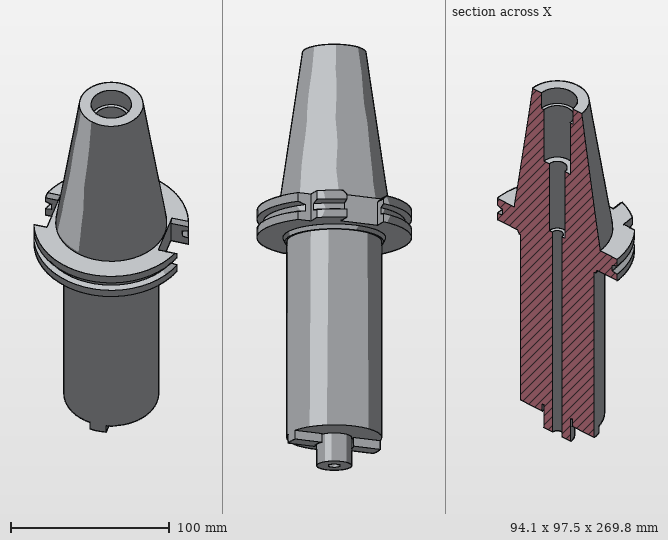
import cadquery as cq

total_height = 269.8
taper_length = 101.7
flange_drop = 19.2
gauge_land = 1.5
collar_height = 2.7
pilot_length = 18.3
gauge_z = total_height - taper_length
flange_top = gauge_z - gauge_land
flange_bottom = gauge_z - flange_drop
collar_bottom = flange_bottom - collar_height

taper_large_radius = 70.0 / 2
taper_ratio = 7 / 24
taper_small_radius = taper_large_radius - taper_length * taper_ratio / 2
flange_radius = 97.5 / 2
collar_top_radius = 32.5
collar_bottom_radius = 31.0
body_radius = 30.0
pilot_radius = 11.0

upper_rim_height = 5.7
lower_rim_height = 5.5
groove_upper_flank = 1.5
groove_lower_flank = 0.8
groove_top = flange_top - upper_rim_height
groove_floor_top = groove_top - groove_upper_flank
groove_bottom = flange_bottom + lower_rim_height
groove_floor_bottom = groove_bottom + groove_lower_flank
groove_radius = 44.8

slot_width = 25.4
slot_floor_left = 37.8
slot_floor_right = 35.3
slot_chamfer = 2.5

notch_x = -29.7
notch_y = 29.7

key_width = 10.8
key_height = 5.7
key_inner_radius = 12.1

bore_steps = [(12.7, 12.5), (10.5, 54.0), (6.2, 108.0), (3.8, total_height)]


def turned_body():
    profile = [
        (0, 0),
        (pilot_radius, 0),
        (pilot_radius, pilot_length),
        (body_radius, pilot_length),
        (body_radius, collar_bottom),
        (collar_bottom_radius, collar_bottom),
        (collar_top_radius, flange_bottom),
        (flange_radius, flange_bottom),
        (flange_radius, groove_bottom),
        (groove_radius, groove_floor_bottom),
        (groove_radius, groove_floor_top),
        (flange_radius, groove_top),
        (flange_radius, flange_top),
        (taper_large_radius, flange_top),
        (taper_large_radius, gauge_z),
        (taper_small_radius, total_height),
        (0, total_height),
    ]
    return cq.Workplane("XZ").polyline(profile).close().revolve(360, (0, 0), (0, 1))


def drive_slot(side, floor):
    """Slot through the flange on one side (-1 or 1), with chamfered top edges."""
    half = slot_width / 2
    section = [
        (-half, flange_bottom),
        (half, flange_bottom),
        (half, flange_top - slot_chamfer),
        (half + slot_chamfer, flange_top),
        (-half - slot_chamfer, flange_top),
        (-half, flange_top - slot_chamfer),
    ]
    plane = cq.Workplane("YZ", origin=(side * floor, 0, 0))
    return plane.polyline(section).close().extrude(side * flange_radius)


def corner_notch():
    height = flange_top - flange_bottom
    return cq.Workplane(origin=(notch_x, notch_y, flange_bottom)).rect(
        -flange_radius, flange_radius, centered=False
    ).extrude(height)


def drive_keys():
    face = cq.Workplane(origin=(0, 0, pilot_length - key_height))
    bar = face.rect(key_width, 2 * flange_radius).extrude(key_height)
    ring = face.circle(body_radius).circle(key_inner_radius).extrude(key_height)
    return bar.intersect(ring)


result = turned_body()
result = result.cut(drive_slot(-1, slot_floor_left)).cut(drive_slot(1, slot_floor_right))
result = result.cut(corner_notch()).union(drive_keys())
for radius, depth in bore_steps:
    bore = cq.Workplane(origin=(0, 0, total_height - depth)).circle(radius).extrude(depth)
    result = result.cut(bore)